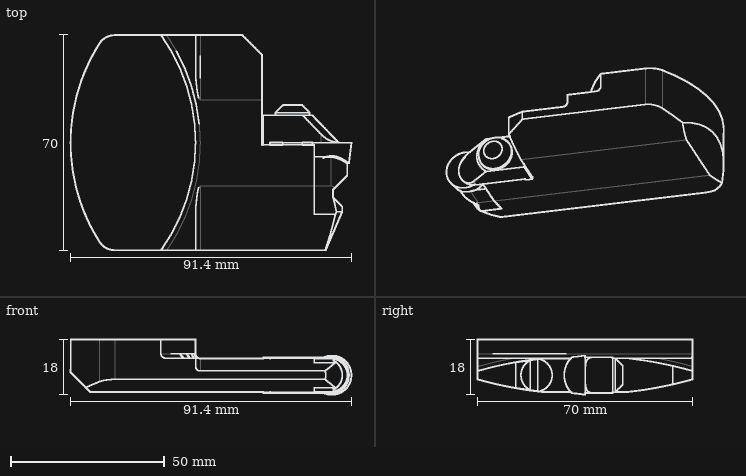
import cadquery as cq
import math

overall_length = 91.35
half_width = 35.0
head_length = 40.65
head_arc_radius = 60.0
head_corner_radius = 6.0
head_top = 11.6
root_fillet = 1.5
nose_chamfer = 6.4

blade_half = 5.5
flat_half_width = 14.0
edge_half = 1.4
step_x = head_length
shoulder_x = 62.3
shoulder_chamfer = 6.5
ledge_y = -0.7
side_depth = (half_width**2 + edge_half**2 - flat_half_width**2 - blade_half**2) / (
    2 * (blade_half - edge_half)
)
side_radius = math.hypot(half_width, edge_half + side_depth)

insert_radius = 6.4
insert_x = overall_length - insert_radius
clearance_angle = 7
insert_edge_depth = 4.7
underside_sag = 2.1
insert_depth = insert_edge_depth + underside_sag
underside_radius = (blade_half**2 + underside_sag**2) / (2 * underside_sag)

tip_half = 5.4
pad_x = 79.2
tip_end_x = 90.0
heel_end_x = 88.3
heel_foot_x = 82.95
heel_bend_y = -22.5
notch_floor_x = 85.3
notch_tip_y = -15.35
notch_heel_y = -17.8
pad_end_y = -23.3
pad_end_half = 4.0

clamp_half = 5.85
clamp_gap = 0.3
clamp_top = 8.95
clamp_end_x = 87.15
clamp_slant_top_x = 78.6
clamp_slant_angle = 46
clamp_slant_radius = 8.7
clamp_foot_length = 2.3
screw_x = 72.2
screw_head_diameter = 11.1
screw_shank_diameter = 6.4
screw_rim_height = 0.8
screw_cone_height = 2.5

oversize = overall_length


def head_outline():
    """Lens outline with tangent corner arcs at the -X end."""
    arc_centre = head_arc_radius
    corner_y = half_width - head_corner_radius
    reach = head_arc_radius - head_corner_radius
    corner_x = arc_centre - math.sqrt(reach**2 - corner_y**2)
    corner_angle = math.atan2(corner_y, arc_centre - corner_x)
    tangent_x = arc_centre - head_arc_radius * math.cos(corner_angle)
    tangent_y = head_arc_radius * math.sin(corner_angle)
    middle_angle = (corner_angle + math.pi / 2) / 2
    middle_x = corner_x - head_corner_radius * math.cos(middle_angle)
    middle_y = corner_y + head_corner_radius * math.sin(middle_angle)
    sag = head_arc_radius - math.sqrt(head_arc_radius**2 - half_width**2)
    return (
        cq.Workplane("XY")
        .moveTo(tangent_x, -tangent_y)
        .threePointArc((0, 0), (tangent_x, tangent_y))
        .threePointArc((middle_x, middle_y), (corner_x, half_width))
        .lineTo(head_length - sag, half_width)
        .threePointArc((head_length, 0), (head_length - sag, -half_width))
        .lineTo(corner_x, -half_width)
        .threePointArc((middle_x, -middle_y), (tangent_x, -tangent_y))
        .close()
    )


def side_arc_point(y):
    """Height of the curved side of the blade at a distance y from the centre line."""
    return math.sqrt(side_radius**2 - y**2) - side_depth


def lower_section():
    """Slab with curved bottom sides over the whole length, tall enough for the head."""
    middle_y = (flat_half_width + half_width) / 2
    middle_z = -side_arc_point(middle_y)
    return (
        cq.Workplane("YZ")
        .moveTo(-half_width, head_top)
        .lineTo(-half_width, -edge_half)
        .threePointArc((-middle_y, middle_z), (-flat_half_width, -blade_half))
        .lineTo(flat_half_width, -blade_half)
        .threePointArc((middle_y, middle_z), (half_width, -edge_half))
        .lineTo(half_width, head_top)
        .close()
        .extrude(oversize)
    )


def head():
    """Head prism, to be trimmed in height by the lower section."""
    return head_outline().extrude(oversize, both=True)


def head_root_fillet():
    """Concave fillet ring around the +X side of the head, on the flat of the blade."""
    inner = head_arc_radius
    ring = (
        cq.Workplane("XZ")
        .moveTo(inner - root_fillet, blade_half)
        .lineTo(inner + root_fillet, blade_half)
        .radiusArc((inner, blade_half + root_fillet), root_fillet)
        .lineTo(inner - root_fillet, blade_half + root_fillet)
        .close()
        .revolve(360, (0, 0, 0), (0, 1, 0))
        .translate((head_length - head_arc_radius, 0, 0))
    )
    front_half = cq.Workplane("XY").box(oversize, 2 * half_width, oversize, centered=(False, True, True))
    return ring.intersect(front_half.translate((head_length / 2, 0, 0)))


def blade_outline():
    """Plan of the blade, still square at the finger end."""
    return (
        cq.Workplane("XY")
        .moveTo(head_length / 2, -half_width)
        .lineTo(oversize, -half_width)
        .lineTo(oversize, ledge_y)
        .lineTo(shoulder_x, ledge_y)
        .lineTo(shoulder_x, half_width - shoulder_chamfer)
        .lineTo(shoulder_x - shoulder_chamfer, half_width)
        .lineTo(head_length / 2, half_width)
        .close()
        .extrude(2 * blade_half)
        .translate((0, 0, -blade_half))
    )


def upper_side_cut():
    """Revolved cutter that curves both sides of the upper face, with a fillet at the step."""
    return (
        cq.Workplane("XY")
        .moveTo(step_x + root_fillet, side_radius)
        .lineTo(step_x + oversize, side_radius)
        .lineTo(step_x + oversize, side_radius + oversize)
        .lineTo(step_x, side_radius + oversize)
        .lineTo(step_x, side_radius + root_fillet)
        .radiusArc((step_x + root_fillet, side_radius), -root_fillet)
        .close()
        .revolve(180, (0, 0, 0), (1, 0, 0))
        .translate((0, 0, -side_depth))
    )


def rounded_end(end_x, y):
    """Closed profile at a given Y, from inside the blade to a full-radius end."""
    return (
        cq.Workplane("XZ", origin=(0, y, 0))
        .moveTo(shoulder_x, -tip_half)
        .lineTo(end_x - tip_half, -tip_half)
        .threePointArc((end_x, 0), (end_x - tip_half, tip_half))
        .lineTo(shoulder_x, tip_half)
        .close()
    )


def finger_envelope():
    """Everything the blade may fill: full thickness up to the pad, rounded beyond it."""
    inner = cq.Workplane("XY").box(pad_x, 2 * half_width, 2 * blade_half, centered=(False, True, True))
    tip = rounded_end(tip_end_x, -insert_edge_depth).extrude(-insert_edge_depth - notch_heel_y)
    upper_heel = rounded_end(heel_end_x, notch_heel_y).extrude(notch_heel_y - heel_bend_y)
    heel_profiles = [
        rounded_end(heel_end_x, heel_bend_y).val(),
        rounded_end(heel_foot_x, -half_width).val(),
    ]
    lower_heel = cq.Workplane(cq.Solid.makeLoft(heel_profiles, True))
    return inner.union(tip).union(upper_heel).union(lower_heel)


def notch():
    """V notch with a flat floor between the tip and the heel."""
    reach = oversize - notch_floor_x
    return (
        cq.Workplane("XY")
        .moveTo(notch_floor_x, notch_heel_y)
        .lineTo(notch_floor_x, notch_tip_y)
        .lineTo(oversize, notch_tip_y + reach)
        .lineTo(oversize, notch_heel_y - reach)
        .close()
        .extrude(oversize, both=True)
    )


def pad_cut():
    """Flat sloped pad on the curved side of the finger end, upper face."""
    return (
        cq.Workplane("YZ")
        .moveTo(-flat_half_width, tip_half)
        .lineTo(pad_end_y, pad_end_half)
        .lineTo(pad_end_y, oversize)
        .lineTo(-flat_half_width, oversize)
        .close()
        .extrude(oversize)
        .translate((pad_x, 0, 0))
    )


def nose_bevel():
    """45 degree wedge under the -X end."""
    return (
        cq.Workplane("XZ")
        .moveTo(0, -blade_half)
        .lineTo(nose_chamfer, -blade_half)
        .lineTo(0, nose_chamfer - blade_half)
        .close()
        .extrude(half_width, both=True)
    )


def clamp():
    """Clamp plate with a rounded, slanted end and a foot on the ledge."""
    start_x = shoulder_x + clamp_gap
    round_x = clamp_end_x - clamp_half
    body = (
        cq.Workplane("XZ")
        .moveTo(start_x, -clamp_half)
        .lineTo(round_x, -clamp_half)
        .threePointArc((clamp_end_x, 0), (round_x, clamp_half))
        .lineTo(start_x, clamp_half)
        .close()
        .extrude(-clamp_top)
    )
    slanted_rod = (
        cq.Workplane("YZ")
        .circle(clamp_slant_radius)
        .extrude(oversize, both=True)
        .translate((0, -clamp_slant_radius, 0))
        .rotate((0, 0, 0), (0, 0, 1), -clamp_slant_angle)
        .translate((clamp_slant_top_x, clamp_top, 0))
    )
    inner = cq.Workplane("XY").box(screw_x - start_x, oversize, oversize, centered=(False, True, True))
    inner = inner.translate((start_x, 0, 0))
    foot = cq.Workplane("XY").box(clamp_foot_length, -ledge_y, 2 * clamp_half, centered=(False, False, True))
    foot = foot.translate((start_x, ledge_y, 0))
    return body.intersect(slanted_rod.union(inner)).union(foot)


def screw():
    """Screw revolved about Y: shank across the gap, rim and conical head."""
    head_radius = screw_head_diameter / 2
    rim_y = clamp_top + screw_rim_height
    return (
        cq.Workplane("XY")
        .moveTo(0, ledge_y)
        .lineTo(screw_shank_diameter / 2, ledge_y)
        .lineTo(screw_shank_diameter / 2, clamp_top)
        .lineTo(head_radius, clamp_top)
        .lineTo(head_radius, rim_y)
        .lineTo(head_radius - screw_cone_height, rim_y + screw_cone_height)
        .lineTo(0, rim_y + screw_cone_height)
        .close()
        .revolve(360, (0, 0, 0), (0, 1, 0))
        .translate((screw_x, 0, 0))
    )


def make_insert():
    """Tapered disc whose underside is part of a cylinder along X."""
    blank_depth = 2 * insert_depth
    cone = (
        cq.Workplane("XY")
        .lineTo(insert_radius, 0)
        .lineTo(insert_radius - blank_depth * math.tan(math.radians(clearance_angle)), -blank_depth)
        .lineTo(0, -blank_depth)
        .close()
        .revolve(360, (0, 0, 0), (0, 1, 0))
        .translate((insert_x, 0, 0))
    )
    underside = (
        cq.Workplane("YZ", origin=(insert_x, 0, 0))
        .center(underside_radius - insert_depth, 0)
        .circle(underside_radius)
        .extrude(insert_radius, both=True)
    )
    return cone.intersect(underside)


def make_holder(insert):
    """Head, blade, clamp and screw as one solid, with a seat that fits the insert."""
    pad = pad_cut()
    blade = blade_outline().intersect(finger_envelope())
    blade = blade.cut(upper_side_cut())
    blade = blade.cut(pad).cut(pad.mirror("XY")).cut(notch())
    holder = head().union(head_root_fillet()).union(blade)
    holder = holder.intersect(lower_section()).cut(nose_bevel())
    return holder.union(clamp()).union(screw()).cut(insert)


insert = make_insert()
holder = make_holder(insert)
result = cq.Compound.makeCompound([holder.solids().val(), insert.solids().val()])